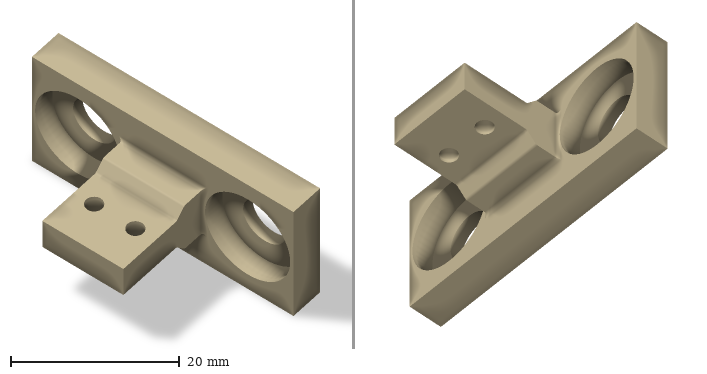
import cadquery as cq

plate_width = 40.0
plate_thickness = 5.0
plate_height = 18.0

screw_spacing = 26.0
screw_hole_diameter = 6.6
counterbore_diameter = 13.0
counterbore_depth = 3.2

tongue_width = 12.4
tongue_length = 15.0
root_height = 7.5
tip_height = 4.5
tip_start = 5.0
taper_length = (root_height - tip_height) / 2
taper_start = tip_start - taper_length
blend_radius = 0.5

pin_hole_diameter = 2.4
pin_hole_spacing = 6.3
pin_hole_distance = 9.0


def make_plate():
    plate = cq.Workplane("XY").box(plate_width, plate_thickness, plate_height)
    return plate.translate((0, plate_thickness / 2, 0))


def make_tongue():
    """Stepped profile in the YZ plane, with the slope's corners rounded."""
    upper_profile = [
        (0, root_height / 2),
        (-taper_start, root_height / 2),
        (-tip_start, tip_height / 2),
        (-tongue_length, tip_height / 2),
    ]
    lower_profile = [(y, -z) for y, z in reversed(upper_profile)]
    tongue = (
        cq.Workplane("YZ")
        .polyline(upper_profile + lower_profile)
        .close()
        .extrude(tongue_width / 2, both=True)
    )
    slope_middle = (taper_start + tip_start) / 2
    slope_corners = cq.selectors.BoxSelector(
        (-tongue_width, -slope_middle - taper_length, -root_height),
        (tongue_width, -slope_middle + taper_length, root_height),
    )
    return tongue.edges("|X").edges(slope_corners).fillet(blend_radius)


def blend_root(body):
    """Fillet the four edges where the tongue meets the plate."""
    root_edges = cq.selectors.BoxSelector(
        (-tongue_width, -blend_radius / 2, -root_height),
        (tongue_width, blend_radius / 2, root_height),
    )
    return body.edges(root_edges).fillet(blend_radius)


def screw_cylinders(diameter, front, back):
    """Two cylinders along Y, one per screw, running from Y = front to Y = back."""
    return (
        cq.Workplane("XZ", origin=(0, front, 0))
        .pushPoints([(side * screw_spacing / 2, 0) for side in (-1, 1)])
        .circle(diameter / 2)
        .extrude(front - back)
    )


def cut_screw_holes(body):
    """The counterbores start ahead of the plate, so they also trim the root blend."""
    counterbores = screw_cylinders(counterbore_diameter, -blend_radius, counterbore_depth)
    holes = screw_cylinders(screw_hole_diameter, 0, plate_thickness)
    return body.cut(counterbores).cut(holes)


def cut_pin_holes(body):
    pins = (
        cq.Workplane("XY")
        .pushPoints([(side * pin_hole_spacing / 2, -pin_hole_distance) for side in (-1, 1)])
        .circle(pin_hole_diameter / 2)
        .extrude(tip_height, both=True)
    )
    return body.cut(pins)


body = make_plate().union(make_tongue())
body = blend_root(body)
body = cut_screw_holes(body)
result = cut_pin_holes(body)